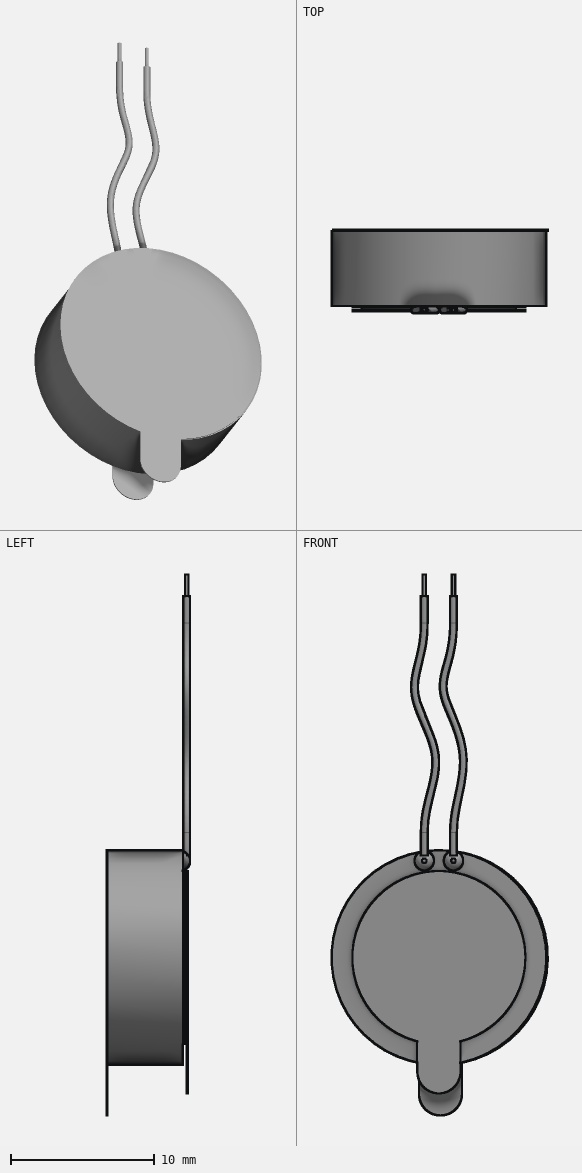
import cadquery as cq


housing_radius = 7.495
housing_depth = 5.25
step_height = 0.1
neck_radius = 5.4
neck_height = 0.15

liner_thickness = 0.095
tab_width = 3.02
front_liner_radius = 6.05
front_tab_reach = 9.48
back_liner_radius = housing_radius
back_liner_shift = 0.1
back_tab_reach = 11.02

wire_radius = 0.245
wire_axis_height = 0.25
core_radius = 0.132
wire_half_spacing = 1.02
wire_end_z = 26.73
insulation_end_z = 25.2
bend_top_z = 23.33
bend_bottom_z = 8.72
solder_z = 6.75
solder_radius = 0.68
solder_crown_height = 2 * wire_axis_height
solder_height = wire_axis_height + wire_radius
wire_end_offset = 0.38
wire_entry_z = solder_z + wire_end_offset

left_bend = [(0.35, 11.05), (0.8, 13.9), (-0.05, 16.55), (-0.68, 18.8), (-0.38, 20.6)]
right_bend = [(0.35, 11.17), (0.68, 13.95), (-0.08, 16.75), (-0.7, 18.8), (-0.3, 20.9)]


def disc(radius, thickness, front_y):
    """Disc about the Y axis, running back from its front face."""
    return cq.Workplane("XZ", origin=(0, front_y, 0)).circle(radius).extrude(-thickness)


def make_housing():
    drum = disc(housing_radius, housing_depth, 0)
    step = disc(front_liner_radius, step_height, -step_height)
    neck = disc(neck_radius, neck_height, -step_height - neck_height)
    return drum.union(step).union(neck)


def make_liner(radius, tab_reach, front_y):
    tab_radius = tab_width / 2
    tab_center_z = tab_radius - tab_reach
    tab = (
        cq.Workplane("XZ", origin=(0, front_y, 0))
        .moveTo(-tab_radius, 0)
        .lineTo(-tab_radius, tab_center_z)
        .threePointArc((0, -tab_reach), (tab_radius, tab_center_z))
        .lineTo(tab_radius, 0)
        .close()
        .extrude(-liner_thickness)
    )
    return disc(radius, liner_thickness, front_y).union(tab)


def make_wire(x, bend):
    """Insulated wire, running just in front of the housing face, with a bare core at its top."""
    bend_points = [(x + offset, z) for offset, z in bend]
    bend_points += [(x, bend_top_z)]
    path = (
        cq.Workplane("XZ", origin=(0, -wire_axis_height, 0))
        .moveTo(x, wire_entry_z)
        .lineTo(x, bend_bottom_z)
        .spline(bend_points, tangents=[(0, 1), (0, 1)], includeCurrent=True)
        .lineTo(x, insulation_end_z)
    )
    insulation = (
        cq.Workplane("XY", origin=(x, -wire_axis_height, wire_entry_z))
        .circle(wire_radius)
        .sweep(path)
    )
    core = (
        cq.Workplane("XY", origin=(x, -wire_axis_height, insulation_end_z))
        .circle(core_radius)
        .extrude(wire_end_z - insulation_end_z)
    )
    return insulation.union(core)


def make_solder(x, wire):
    """Flat-topped spherical dome on the housing face, recessed where the wire enters it."""
    sphere_radius = (solder_radius**2 + solder_crown_height**2) / (2 * solder_crown_height)
    sphere = cq.Workplane("XY").sphere(sphere_radius)
    sphere = sphere.translate((x, sphere_radius - solder_crown_height, solder_z))
    cap_space = disc(solder_radius, solder_height, -solder_height)
    cap_space = cap_space.translate((x, 0, solder_z))
    return sphere.intersect(cap_space).cut(wire)


housing = make_housing()

front_liner_y = -step_height - neck_height - liner_thickness
front_liner = make_liner(front_liner_radius, front_tab_reach, front_liner_y)
back_liner = make_liner(back_liner_radius, back_tab_reach, housing_depth)
back_liner = back_liner.translate((back_liner_shift, 0, 0))

wires = []
solders = []
for wire_x, wire_bend in [(-wire_half_spacing, left_bend), (wire_half_spacing, right_bend)]:
    wire = make_wire(wire_x, wire_bend)
    wires.append(wire.val())
    solders.append(make_solder(wire_x, wire).val())

result = cq.Compound.makeCompound(
    [housing.val(), front_liner.val(), back_liner.val(), *wires, *solders]
)